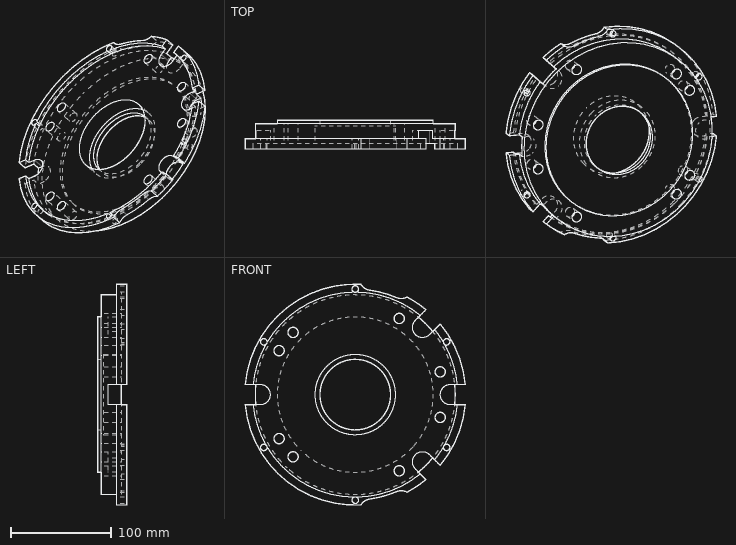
import cadquery as cq
import math

flange_diameter = 220.0
flange_thickness = 10.5
body_diameter = 199.0
body_thickness = 15.0
boss_diameter = 155.0
boss_height = 3.5

flange_radius = flange_diameter / 2
body_back = flange_thickness + body_thickness
overall_depth = body_back + boss_height

recess_diameter = 204.0
recess_depth = 5.5

bore_diameter = 70.0
bearing_seat_diameter = 80.0
bearing_seat_end = 23.0

notch_width = 20.0
notch_inner_reach = 84.5
notch_depth = 18.5
notch_angles = (0, 45, 180, -45)

rim_hole_diameter = 6.3
rim_hole_circle_radius = 105.0
rim_hole_count = 6
rim_hole_start_angle = 90.0

mounting_hole_diameter = 10.0
mounting_hole_circle_radius = 87.5
mounting_hole_angles = (15, 60, 135, 150)

relief_floor_radius = 105.0
relief_cutter_radius = 12.0
relief_angle = 74.55
relief_half_opening = 12.5


def polar(radius, angle):
    """Point on a sketch plane at a radius and an angle in degrees from the X axis."""
    return (radius * math.cos(math.radians(angle)), radius * math.sin(math.radians(angle)))


def face_plane(y):
    """Sketch plane facing +Y at depth y; its local axes are X and -Z."""
    return cq.Workplane("XZ", origin=(0, y, 0)).workplane(invert=True)


def disc(diameter, start, end):
    """Solid disc about the Y axis from depth start to depth end."""
    return face_plane(start).circle(diameter / 2).extrude(end - start)


def holes(centres, diameter):
    """Round cutters running the full depth of the part."""
    return face_plane(0).pushPoints(centres).circle(diameter / 2).extrude(overall_depth)


def make_blank():
    flange = disc(flange_diameter, 0, flange_thickness)
    body = disc(body_diameter, flange_thickness, body_back)
    boss = disc(boss_diameter, body_back, overall_depth)
    return flange.union(body).union(boss)


def make_notch(angle):
    end_radius = notch_width / 2
    arc_centre = notch_inner_reach + end_radius
    straight_length = flange_radius - arc_centre
    straight = (
        face_plane(0)
        .center(arc_centre + straight_length / 2, 0)
        .rect(straight_length, notch_width)
        .extrude(notch_depth)
    )
    rounded_end = face_plane(0).center(arc_centre, 0).circle(end_radius).extrude(notch_depth)
    return straight.union(rounded_end).rotate((0, 0, 0), (0, 1, 0), angle)


def make_relief(angle):
    """Arc-shaped slot cutter whose inner wall is the relief floor."""
    outer_radius = relief_floor_radius + 2 * relief_cutter_radius
    path_radius = relief_floor_radius + relief_cutter_radius
    edge_angle = math.degrees(
        math.acos(
            (flange_radius**2 + path_radius**2 - relief_cutter_radius**2)
            / (2 * flange_radius * path_radius)
        )
    )
    half_sweep = relief_half_opening - edge_angle
    first = angle - half_sweep
    last = angle + half_sweep
    tip = math.degrees(2 * math.asin(relief_cutter_radius / (2 * path_radius)))
    return (
        face_plane(0)
        .moveTo(*polar(relief_floor_radius, first))
        .threePointArc(polar(relief_floor_radius, angle), polar(relief_floor_radius, last))
        .threePointArc(polar(path_radius, last + tip), polar(outer_radius, last))
        .threePointArc(polar(outer_radius, angle), polar(outer_radius, first))
        .threePointArc(polar(path_radius, first - tip), polar(relief_floor_radius, first))
        .close()
        .extrude(flange_thickness)
    )


result = make_blank()
result = result.cut(disc(recess_diameter, 0, recess_depth))
result = result.cut(disc(bearing_seat_diameter, 0, bearing_seat_end))
result = result.cut(disc(bore_diameter, 0, overall_depth))

for notch_angle in notch_angles:
    result = result.cut(make_notch(notch_angle))

for side in (1, -1):
    result = result.cut(make_relief(side * relief_angle))

rim_hole_centres = [
    polar(rim_hole_circle_radius, rim_hole_start_angle + i * 360 / rim_hole_count)
    for i in range(rim_hole_count)
]
result = result.cut(holes(rim_hole_centres, rim_hole_diameter))

mounting_hole_centres = [
    polar(mounting_hole_circle_radius, side * angle)
    for angle in mounting_hole_angles
    for side in (1, -1)
]
result = result.cut(holes(mounting_hole_centres, mounting_hole_diameter))